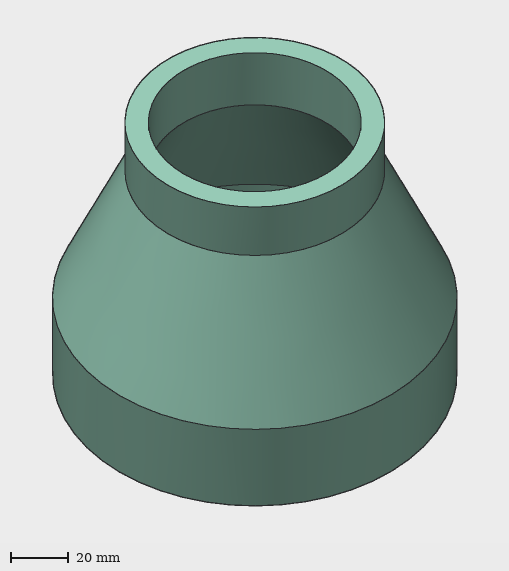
import cadquery as cq
import math

large_diameter = 140.0
small_diameter = 89.9
total_height = 115.0
large_collar_height = 35.0
small_collar_height = 22.1
wall = 8.1

large_radius = large_diameter / 2
small_radius = small_diameter / 2

cone_height = total_height - large_collar_height - small_collar_height
cone_angle = math.atan((large_radius - small_radius) / cone_height)
bend_drop = wall * math.tan(cone_angle / 2)


def stepped_taper(bottom_radius, top_radius, bottom_height, top_height):
    """Solid of revolution: a cylinder, a cone and a narrower cylinder."""
    profile = (
        cq.Workplane("XZ")
        .moveTo(0, 0)
        .lineTo(bottom_radius, 0)
        .lineTo(bottom_radius, bottom_height)
        .lineTo(top_radius, total_height - top_height)
        .lineTo(top_radius, total_height)
        .lineTo(0, total_height)
        .close()
    )
    return profile.revolve(360, (0, 0, 0), (0, 1, 0))


body = stepped_taper(large_radius, small_radius, large_collar_height, small_collar_height)
bore = stepped_taper(
    large_radius - wall,
    small_radius - wall,
    large_collar_height - bend_drop,
    small_collar_height + bend_drop,
)

result = body.cut(bore)